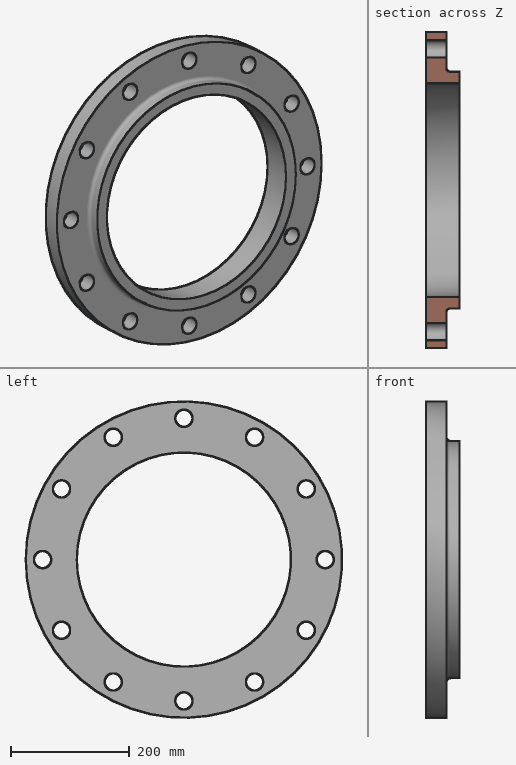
import cadquery as cq

outer_diameter = 533.4
bore_diameter = 360.4
flange_thickness = 34.9
total_length = 57.15
hub_diameter = 400.05
hub_fillet_radius = 6.35

bolt_count = 12
bolt_circle_diameter = 476.25
bolt_hole_diameter = 28.575


def flange_body():
    """Revolved ring: flat flange plus hub, with a concave fillet at the hub root."""
    bore_radius = bore_diameter / 2
    outer_radius = outer_diameter / 2
    hub_radius = hub_diameter / 2
    fillet_top = hub_radius + hub_fillet_radius
    fillet_end = flange_thickness + hub_fillet_radius

    half_section = (
        cq.Workplane("XY")
        .moveTo(0, bore_radius)
        .lineTo(0, outer_radius)
        .lineTo(flange_thickness, outer_radius)
        .lineTo(flange_thickness, fillet_top)
        .radiusArc((fillet_end, hub_radius), -hub_fillet_radius)
        .lineTo(total_length, hub_radius)
        .lineTo(total_length, bore_radius)
        .close()
    )
    return half_section.revolve(360, (0, 0, 0), (1, 0, 0))


def bolt_holes():
    """Cutters evenly spaced on the bolt circle, the first on the Y axis."""
    return (
        cq.Workplane("YZ")
        .polarArray(bolt_circle_diameter / 2, 0, 360, bolt_count)
        .circle(bolt_hole_diameter / 2)
        .extrude(flange_thickness)
    )


result = flange_body().cut(bolt_holes())